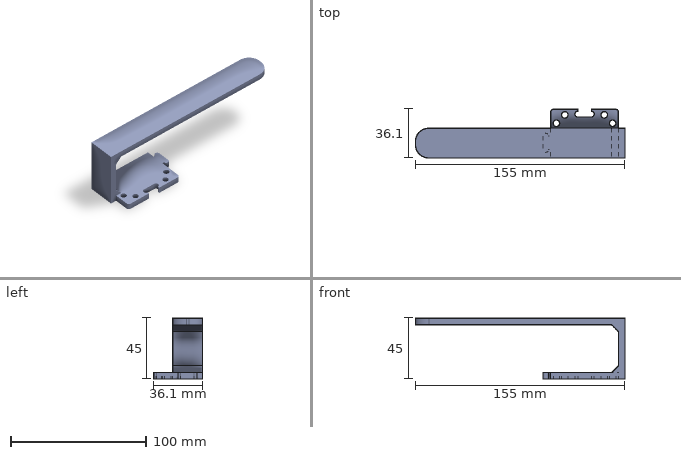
import cadquery as cq

length = 155.0
depth = 36.1
height = 45.0
thickness = 5.0

arm_width = 22.2
arm_end_radius = 10.0
inner_chamfer = 5.0

plate_length = 50.0
plate_right = length - thickness
plate_left = plate_right - plate_length
plate_center = plate_right - plate_length / 2
plate_corner_radius = 2.0

neck_width = 9.9
head_width = 14.1
head_height = 4.2
joint_depth = 5.7
tab_center = 11.3

hole_diameter = 4.6
hole_pairs = [(14.5, 32.0), (20.8, 25.7)]


def make_bracket():
    """Long arm with a rounded end and the upright wall that carries it."""
    wall = cq.Workplane("XY").box(thickness, arm_width, height, centered=False)
    wall = wall.translate((plate_right, 0, 0))
    arm = cq.Workplane("XY").box(length, arm_width, thickness, centered=False)
    arm = arm.edges("|Z and <X").fillet(arm_end_radius)
    arm = arm.translate((0, 0, height - thickness))
    return wall.union(arm)


def make_gusset(face_z, direction):
    """Triangular fill between the wall and the arm or plate face at face_z."""
    return (
        cq.Workplane("XZ")
        .moveTo(plate_right, face_z)
        .lineTo(plate_right - inner_chamfer, face_z)
        .lineTo(plate_right, face_z + direction * inner_chamfer)
        .close()
        .extrude(-arm_width)
    )


def make_plate():
    """Lower plate with two rounded corners and a foot that joins it to the wall."""
    plate = cq.Workplane("XY").box(plate_length, depth, thickness, centered=False)
    plate = plate.edges("|Z and >Y").fillet(plate_corner_radius)
    foot = cq.Workplane("XY").box(thickness, arm_width, thickness, centered=False)
    foot = foot.translate((plate_length, 0, 0))
    return plate.union(foot).translate((plate_left, 0, 0))


def make_joint():
    """Joint shape that starts at the origin and reaches along -Y with its head last."""
    neck = cq.Workplane("XY").box(neck_width, joint_depth, thickness, centered=(True, False, False))
    head = cq.Workplane("XY").slot2D(head_width, head_height).extrude(thickness)
    head = head.translate((0, head_height / 2, 0))
    return neck.union(head).translate((0, -joint_depth, 0))


def make_holes():
    """Cylinders for the screw holes on both sides of the plate's centre."""
    points = [
        (plate_center + side * offset, y)
        for offset, y in hole_pairs
        for side in (-1, 1)
    ]
    return cq.Workplane("XY").pushPoints(points).circle(hole_diameter / 2).extrude(thickness)


notch = make_joint().translate((plate_center, depth, 0))
tab = make_joint().rotate((0, 0, 0), (0, 0, 1), -90).translate((plate_left, tab_center, 0))

result = (
    make_bracket()
    .union(make_plate())
    .union(make_gusset(thickness, 1))
    .union(make_gusset(height - thickness, -1))
    .union(tab)
    .cut(notch)
    .cut(make_holes())
)